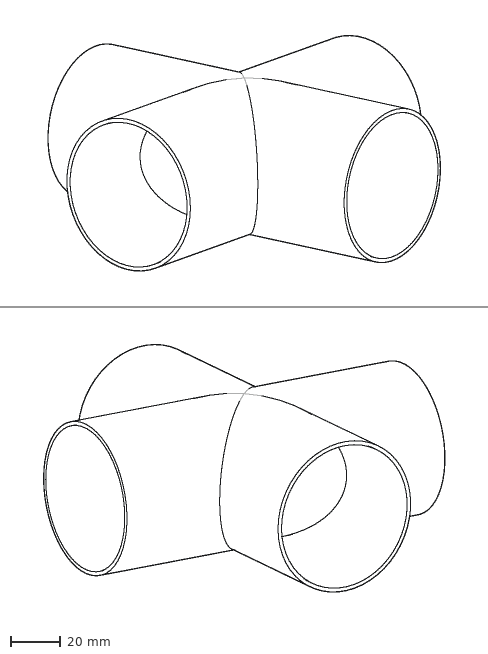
import cadquery as cq

overall_length = 152.4
outer_diameter = 63.5
bore_diameter = 60.2


def crossed_cylinders(diameter):
    """Two full-length cylinders, along X and Y, crossing at the origin."""
    radius = diameter / 2
    along_x = cq.Workplane("YZ").circle(radius).extrude(overall_length / 2, both=True)
    along_y = cq.Workplane("XZ").circle(radius).extrude(overall_length / 2, both=True)
    return along_x.union(along_y)


result = crossed_cylinders(outer_diameter).cut(crossed_cylinders(bore_diameter))